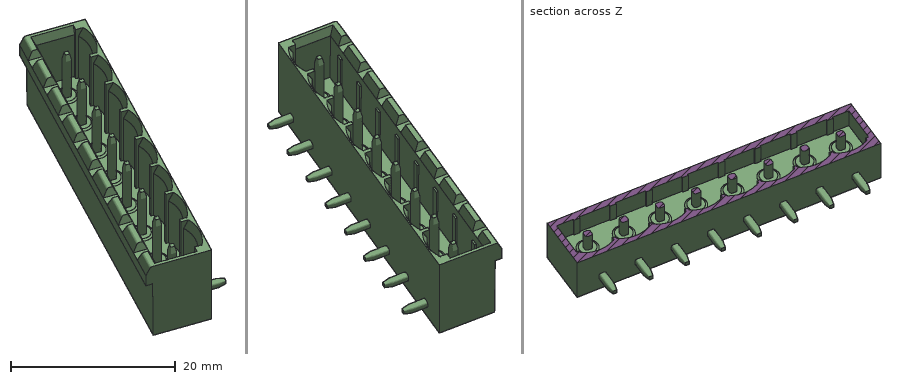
import cadquery as cq

length = 42.0
height = 12.0
depth = 8.55
half_length = length / 2

contact_count = 8
pitch = 5.0
contact_y = 4.8
first_contact_x = -pitch * (contact_count - 1) / 2
contact_xs = [first_contact_x + i * pitch for i in range(contact_count)]

lip_bottom = 9.0
lip_overhang = 0.9
front_draft = 0.1
lip_bevel_y = 0.65
lip_bevel_z = 1.25
crest_radius = 0.4

floor_z = 3.5
end_wall = 0.85
cavity_front = 1.85
cavity_back = 6.85
lead_in_z = 1.25
end_lead_in = 0.4
front_lead_in = 0.55
lead_in_start_z = height - lead_in_z

scallop_width = 4.55
scallop_radius = 4.2
scallop_back = 7.85
scallop_lead_in = 0.55

notch_top_width = 1.75
notch_floor_width = 1.25
notch_depth = lip_bevel_z
rib_width = 0.85
rib_projection = 0.15
rib_top = 9.5

collar_base_diameter = 2.8
collar_top_diameter = 2.25
collar_height = 0.15

wire_width = 1.0
wire_rounding = 0.315
tip_width = 0.55
tip_rounding = 0.1
tip_length = 1.0
contact_top = 10.88
tail_z = 2.1
tail_end = 11.7


def make_housing():
    """Solid block with the overhanging, bevelled lip and the drafted front wall."""
    outline = [
        (lip_overhang + front_draft, 0),
        (lip_overhang, lip_bottom),
        (0, lip_bottom),
        (0, height - lip_bevel_z),
        (lip_bevel_y, height),
        (depth, height),
        (depth, 0),
    ]
    block = (
        cq.Workplane("YZ", origin=(-half_length, 0, 0))
        .polyline(outline)
        .close()
        .extrude(length)
    )
    crest = cq.selectors.NearestToPointSelector((0, lip_bevel_y, height))
    return block.edges(crest).fillet(crest_radius)


def cavity_section(z, end_gap, front_y):
    """Rectangular wire of the cavity at height z."""
    half_width = half_length - end_gap
    return (
        cq.Workplane("XY", origin=(0, 0, z))
        .moveTo(-half_width, front_y)
        .lineTo(half_width, front_y)
        .lineTo(half_width, cavity_back)
        .lineTo(-half_width, cavity_back)
        .close()
        .val()
    )


def make_cavity():
    """Pocket with a drafted front wall and a lead-in at the ends and the front."""
    floor = cavity_section(floor_z, end_wall, cavity_front + front_draft)
    middle = cavity_section(lead_in_start_z, end_wall, cavity_front)
    mouth = cavity_section(height, end_wall - end_lead_in, cavity_front - front_lead_in)
    lower = cq.Solid.makeLoft([floor, middle], True)
    upper = cq.Solid.makeLoft([middle, mouth], True)
    return cq.Workplane(lower).union(cq.Workplane(upper))


def make_scallop(x):
    """Round recess in the back wall, flaring out at the top, between flat sides."""
    axis = cq.Vector(x, scallop_back - scallop_radius, floor_z)
    up = cq.Vector(0, 0, 1)
    barrel = cq.Solid.makeCylinder(scallop_radius, height - floor_z, axis, up)
    flare = cq.Solid.makeCone(
        scallop_radius,
        scallop_radius + scallop_lead_in,
        lead_in_z,
        cq.Vector(x, axis.y, lead_in_start_z),
        up,
    )
    slab = cq.Workplane("XY", origin=(x, cavity_back, floor_z)).box(
        scallop_width, depth - cavity_back, height - floor_z, centered=(True, False, False)
    )
    return cq.Workplane(barrel).union(cq.Workplane(flare)).intersect(slab)


def make_notch(x):
    """Trapezoidal cut through the lip, wider at the top."""
    profile = [
        (x - notch_floor_width / 2, height - notch_depth),
        (x + notch_floor_width / 2, height - notch_depth),
        (x + notch_top_width / 2, height),
        (x - notch_top_width / 2, height),
    ]
    reach = cavity_front + front_draft
    return cq.Workplane("XZ").polyline(profile).close().extrude(-reach)


def make_rib(x):
    """Small upright rib on the inside of the front wall."""
    rib_front = cavity_front - front_lead_in
    rib_back = cavity_front + front_draft + rib_projection
    return cq.Workplane("XY", origin=(x, rib_front, floor_z)).box(
        rib_width, rib_back - rib_front, rib_top - floor_z, centered=(True, False, False)
    )


def make_collar(x):
    """Conical collar at the foot of a contact."""
    return cq.Workplane(
        cq.Solid.makeCone(
            collar_base_diameter / 2,
            collar_top_diameter / 2,
            collar_height,
            cq.Vector(x, contact_y, floor_z),
            cq.Vector(0, 0, 1),
        )
    )


def make_wire(wire_length):
    """Rounded square wire along +Z from the origin, with a tapered far end."""
    straight = wire_length - tip_length
    base = cq.Sketch().rect(wire_width, wire_width).vertices().fillet(wire_rounding)
    end = cq.Sketch().rect(tip_width, tip_width).vertices().fillet(tip_rounding)
    shaft = cq.Workplane("XY").placeSketch(base).extrude(straight)
    tip = (
        cq.Workplane("XY", origin=(0, 0, straight))
        .placeSketch(base, end.moved(cq.Location(cq.Vector(0, 0, tip_length))))
        .loft()
    )
    return shaft.union(tip)


def make_contact(x):
    """Right-angle contact: an upright pin and a tail leaving through the back."""
    pin = make_wire(contact_top - tail_z).translate((x, contact_y, tail_z))
    tail = make_wire(tail_end - contact_y).rotate((0, 0, 0), (1, 0, 0), -90)
    return pin.union(tail.translate((x, contact_y, tail_z)))


result = make_housing().cut(make_cavity())
for contact_x in contact_xs:
    result = result.cut(make_scallop(contact_x))
    result = result.cut(make_notch(contact_x))
for contact_x in contact_xs:
    result = result.union(make_rib(contact_x))
    result = result.union(make_collar(contact_x))
    result = result.union(make_contact(contact_x))